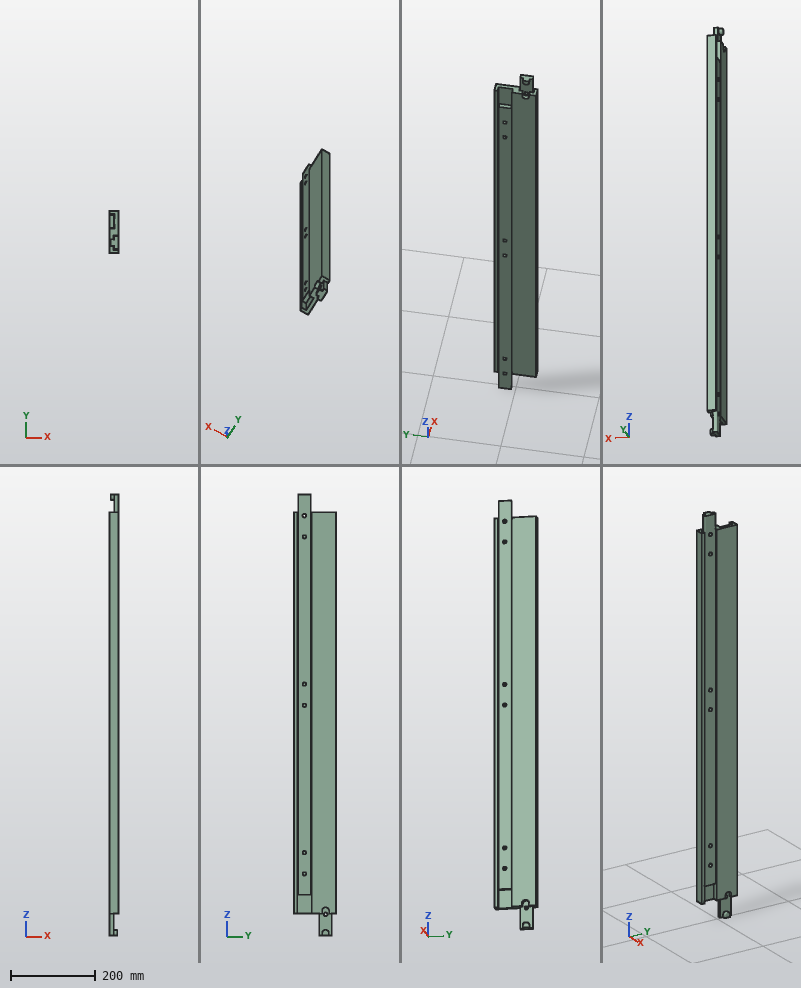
import cadquery as cq

BOARD_THICKNESS = 22.0
BOARD_WIDTH = 100.0
BOARD_LENGTH = 950.0

BAR_WIDTH = 30.0
BAR_THICKNESS = 10.0
BAR_LENGTH = 948.0
BAR_EDGE_RADIUS = 1.6
BAR_OFFSET = 25.0
TOTAL_LENGTH = 1045.0
LOWER_OVERHANG = 52.0
UPPER_OVERHANG = TOTAL_LENGTH - BOARD_LENGTH - LOWER_OVERHANG
GROOVE_WIDTH = 34.0
GROOVE_FLOOR_GAP = 1.6
GROOVE_DEPTH = BAR_THICKNESS + GROOVE_FLOOR_GAP

HOLE_DIAMETER = 8.0
HOLE_END_DISTANCE = 50.0
HOLE_PAIR_SPACING = 50.0

CATCH_WIDTH = 16.0
CATCH_HEIGHT = 14.0
CATCH_DEPTH = 8.0
CATCH_EDGE_RADIUS = 2.0
NOTCH_WIDTH = 17.0
NOTCH_HEIGHT = 15.0


def round_nosed_block(width, height, depth, end_z):
    """U-shaped block hanging from end_z, running from X = 0 toward -X."""
    radius = width / 2
    nose_center_z = end_z - height + radius
    return (
        cq.Workplane("YZ")
        .moveTo(-radius, end_z)
        .lineTo(-radius, nose_center_z)
        .threePointArc((0, end_z - height), (radius, nose_center_z))
        .lineTo(radius, end_z)
        .close()
        .extrude(-depth)
    )


def to_opposite_face_and_end(shape):
    """Point-reflect a shape through the board's centre, from the +X face to the -X face."""
    middle = (0, 0, BOARD_LENGTH / 2)
    return shape.mirror("XY", middle).rotate((0, 0, 0), (0, 0, 1), 180)


def make_groove_cutter():
    """Groove in the +X face, with the notch for the catch at its upper end."""
    floor_x = BOARD_THICKNESS / 2 - GROOVE_DEPTH
    groove = cq.Workplane("XY").box(
        GROOVE_DEPTH, GROOVE_WIDTH, BOARD_LENGTH, centered=(False, True, False)
    )
    notch = round_nosed_block(
        NOTCH_WIDTH, NOTCH_HEIGHT, BOARD_THICKNESS - GROOVE_DEPTH, BOARD_LENGTH
    )
    return groove.union(notch).translate((floor_x, -BAR_OFFSET, 0))


def make_board():
    """Plank with a groove and notch for each of the two bars."""
    board = cq.Workplane("XY").box(
        BOARD_THICKNESS, BOARD_WIDTH, BOARD_LENGTH, centered=(True, True, False)
    )
    cutter = make_groove_cutter()
    return board.cut(cutter).cut(to_opposite_face_and_end(cutter))


def make_bar(overhang):
    """Bar in the +X groove, reaching past the upper end of the board by the overhang."""
    bar = cq.Workplane("XY").box(
        BAR_THICKNESS, BAR_WIDTH, BAR_LENGTH, centered=(False, True, False)
    )
    bar = bar.faces(">X").edges("|Z").fillet(BAR_EDGE_RADIUS)
    pair_starts = (
        HOLE_END_DISTANCE,
        (BAR_LENGTH - HOLE_PAIR_SPACING) / 2,
        BAR_LENGTH - HOLE_END_DISTANCE - HOLE_PAIR_SPACING,
    )
    hole_points = [
        (0, start + step) for start in pair_starts for step in (0, HOLE_PAIR_SPACING)
    ]
    holes = (
        cq.Workplane("YZ")
        .pushPoints(hole_points)
        .circle(HOLE_DIAMETER / 2)
        .extrude(BAR_THICKNESS)
    )
    catch = (
        round_nosed_block(CATCH_WIDTH, CATCH_HEIGHT, CATCH_DEPTH, BAR_LENGTH)
        .faces("<X")
        .edges("not >Z")
        .fillet(CATCH_EDGE_RADIUS)
    )
    inner_face_x = BOARD_THICKNESS / 2 - BAR_THICKNESS
    lower_end_z = BOARD_LENGTH + overhang - BAR_LENGTH
    return bar.cut(holes).union(catch).translate((inner_face_x, -BAR_OFFSET, lower_end_z))


board = make_board()
upper_bar = make_bar(UPPER_OVERHANG)
lower_bar = to_opposite_face_and_end(make_bar(LOWER_OVERHANG))

result = cq.Compound.makeCompound([board.val(), upper_bar.val(), lower_bar.val()])